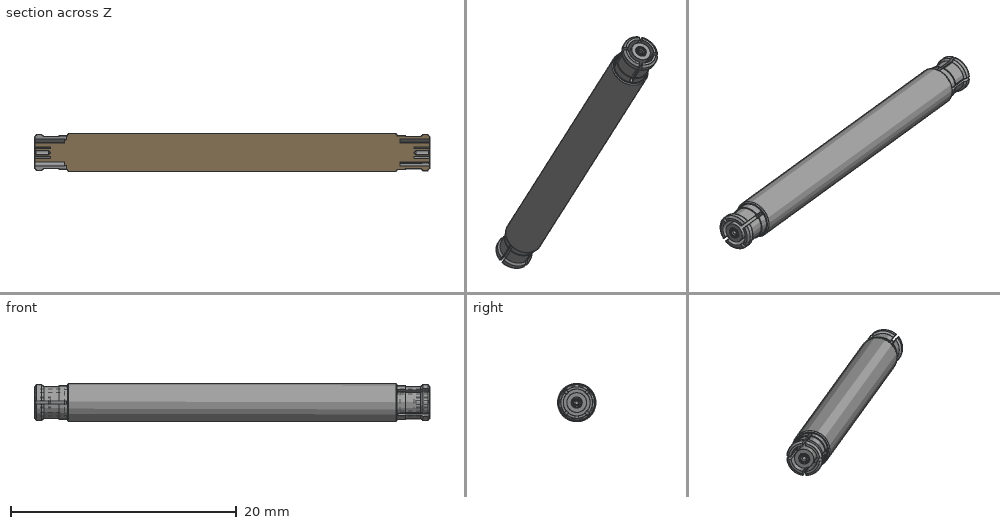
import cadquery as cq

length = 35.0
body_radius = 1.698
half_length = length / 2
tip = -half_length

lip_front = 0.18
lip_back = 0.6
lip_heel = 0.8
collar_start = 2.17
body_start = 2.9
body_chamfer = 0.1
tip_radius = 1.4
barrel_radius = 1.45
lip_radius = 1.6
collar_radius = 1.5

finger_inner_radius = 1.2
insulator_radius = 0.88
gap_depth = 2.62

finger_count = 4
finger_slot_width = 0.28
finger_slot_length = 2.8
finger_slot_floor = 1.15
finger_pitch = 360 / finger_count

contact_clearance_radius = 0.5
contact_radius = 0.4
contact_mouth_radius = 0.28
contact_hole_radius = 0.18
contact_depth = 1.4


def revolve_about_x(profile):
    """Turn a closed profile a full circle about the X axis."""
    return profile.revolve(360, (0, 0, 0), (1, 0, 0))


def tip_tube(outer_radius, inner_radius, depth):
    """Tube on the X axis that reaches inward from the tip."""
    return cq.Workplane("YZ", origin=(tip, 0, 0)).circle(outer_radius).circle(inner_radius).extrude(depth)


def turned_body():
    """Long body with a collar, a barrel and a snap lip at each end."""
    end_outline = [
        (0, 0),
        (0, tip_radius),
        (lip_front, lip_radius),
        (lip_back, lip_radius),
        (lip_heel, barrel_radius),
        (collar_start, barrel_radius),
        (collar_start, collar_radius),
        (body_start, collar_radius),
        (body_start, body_radius - body_chamfer),
        (body_start + body_chamfer, body_radius),
    ]
    near_end = [(tip + inward, radius) for inward, radius in end_outline]
    far_end = [(half_length - inward, radius) for inward, radius in reversed(end_outline)]
    return revolve_about_x(cq.Workplane("XY").polyline(near_end + far_end).close())


def finger_slot(angle):
    """Slot through the barrel wall, from the tip into the collar."""
    slot_height = body_radius - finger_slot_floor
    slot = cq.Workplane("XY").box(
        finger_slot_length, finger_slot_width, slot_height, centered=(False, True, False)
    )
    return slot.translate((tip, 0, finger_slot_floor)).rotate((0, 0, 0), (1, 0, 0), angle)


def contact_socket():
    """Socket hole of the contact, with a flared mouth and a conical bottom."""
    flare_depth = contact_mouth_radius - contact_hole_radius
    cone_depth = contact_hole_radius
    profile = (
        cq.Workplane("XY")
        .moveTo(tip, 0)
        .lineTo(tip, contact_mouth_radius)
        .lineTo(tip + flare_depth, contact_hole_radius)
        .lineTo(tip + contact_depth - cone_depth, contact_hole_radius)
        .lineTo(tip + contact_depth, 0)
        .close()
    )
    return revolve_about_x(profile)


def near_end_cutters():
    """Everything removed from the plug end at the tip."""
    cutters = [
        tip_tube(finger_inner_radius, insulator_radius, gap_depth),
        tip_tube(contact_clearance_radius, contact_radius, contact_depth),
        contact_socket(),
    ]
    for index in range(finger_count):
        cutters.append(finger_slot(index * finger_pitch))
    return cutters


result = turned_body()
for cutter in near_end_cutters():
    far_cutter = cutter.mirror("YZ").rotate((0, 0, 0), (1, 0, 0), finger_pitch / 2)
    result = result.cut(cutter).cut(far_cutter)